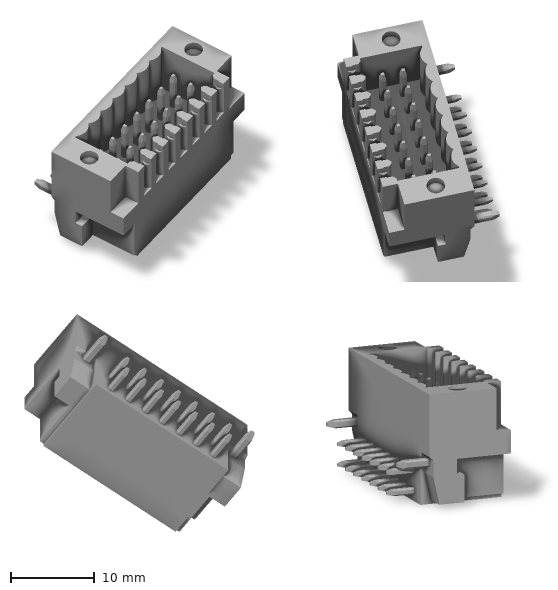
import cadquery as cq


length = 25.35
depth = 10.5
height = 14.2
half_length = length / 2

pitch = 2.53
contacts_per_row = 7
contact_ys = [(i - (contacts_per_row - 1) / 2) * pitch for i in range(contacts_per_row)]
pin_width = 0.8
pin_tip_width = 0.35
pin_chamfer = 0.18
tip_length = 1.01
pin_projection = 3.5
pin_embed = 0.25
first_tail_z = 1.27
tail_zs = (first_tail_z, first_tail_z + pitch)
first_contact_x = 3.65
contact_xs = (first_contact_x, first_contact_x + pitch)
contact_tip_z = 12.2

fixing_inset = 1.75
fixing_y = half_length - fixing_inset
fixing_z = 5.47
fixing_pin_width = 1.0
fixing_tip_width = 0.45
screw_x = 4.3
screw_diameter = 2.23
screw_depth = 1.06

end_width = 2.85
end_bottom = 0.55
end_setback = 0.48
setback_top = 6.5
setback_slope_top = 4.0
end_foot_x = 1.27
hook_x = 3.52
hook_lip_x = 4.49
hook_top = 5.98
hook_lip_top = 3.98
hook_depth = 2.28

cavity_back_x = 0.96
cavity_front_x = 8.62
end_wall = 3.55
cavity_half_length = half_length - end_wall
cavity_depth = 7.15
cavity_floor = height - cavity_depth
bump_rise = 0.55

corner_cut_width = 3.12
corner_cut_height = 5.32
slot_half = 0.75
tooth_nose_half = 0.13
slot_mouth_half = pitch / 2 - tooth_nose_half
slot_lead = slot_mouth_half - slot_half
rib_x = 9.73
sill_depth = 5.07
sill_z = height - sill_depth
rib_half_base = 0.58
rib_rise = 0.33
rib_drop = 1.11
rib_top = height - rib_drop
lug_height = 0.65
lug_rise = 0.1


def box(x, y, z):
    """Axis-aligned box from its (low, high) ranges."""
    size = (x[1] - x[0], y[1] - y[0], z[1] - z[0])
    return cq.Workplane("XY").box(*size, centered=False).translate((x[0], y[0], z[0]))


def prism(points, z):
    """Polygon in XY raised between two Z levels."""
    return cq.Workplane("XY").workplane(offset=z[0]).polyline(points).close().extrude(z[1] - z[0])


def pin(width, tip_width, total):
    """Square pin along +Z with chamfered edges and a four-sided tapered tip."""
    shank_length = total - tip_length
    shank = cq.Workplane("XY").rect(width, width).extrude(shank_length)
    tip = (
        cq.Workplane("XY").workplane(offset=shank_length).rect(width, width)
        .workplane(offset=tip_length).rect(tip_width, tip_width).loft()
    )
    envelope = cq.Workplane("XY").rect(width, width).extrude(total).edges("|Z").chamfer(pin_chamfer)
    return shank.union(tip).intersect(envelope)


def end_cutters():
    """Material removed from the -Y end: board-side relief, hook recess and front top corner."""
    low = -half_length
    relief_outline = [
        (0, 0),
        (0, setback_top),
        (end_setback, setback_top - end_setback),
        (end_setback, setback_slope_top),
        (end_foot_x, end_bottom),
        (depth, end_bottom),
        (depth, 0),
    ]
    relief = (
        cq.Workplane("XZ").polyline(relief_outline).close()
        .extrude(-end_width).translate((0, low, 0))
    )
    hook_ys = (low, low + hook_depth)
    hook = box((hook_x, depth), hook_ys, (hook_lip_top, hook_top))
    below_hook = box((hook_lip_x, depth), hook_ys, (0, hook_lip_top))
    corner_zs = (height - corner_cut_height, height)
    corner = box((cavity_front_x, depth), (low, low + corner_cut_width), corner_zs)
    return [relief, hook, below_hook, corner]


def screw_hole():
    return (
        cq.Workplane("XY").workplane(offset=height - screw_depth)
        .center(screw_x, -fixing_y).circle(screw_diameter / 2).extrude(screw_depth)
    )


def cavity():
    """Pocket whose board-side wall carries one convex bump per contact."""
    outline = cq.Workplane("XY").workplane(offset=cavity_floor).moveTo(cavity_back_x, -cavity_half_length)
    outline = outline.lineTo(cavity_back_x, contact_ys[0] - pitch / 2)
    for y in contact_ys:
        outline = outline.threePointArc((cavity_back_x + bump_rise, y), (cavity_back_x, y + pitch / 2))
    return (
        outline.lineTo(cavity_back_x, cavity_half_length)
        .lineTo(cavity_front_x, cavity_half_length)
        .lineTo(cavity_front_x, -cavity_half_length)
        .close().extrude(cavity_depth)
    )


def slot():
    """Slot between two teeth, with a sill, paired ribs and lugs at the tooth tops."""
    throat_x = cavity_front_x + slot_lead
    opening = prism(
        [
            (cavity_front_x, -slot_mouth_half),
            (throat_x, -slot_half),
            (depth, -slot_half),
            (depth, slot_half),
            (throat_x, slot_half),
            (cavity_front_x, slot_mouth_half),
        ],
        (cavity_floor, height),
    )
    sill = box((rib_x, depth), (-slot_half, slot_half), (cavity_floor, sill_z))
    opening = opening.cut(sill)
    for side in (-1, 1):
        wall_y = side * slot_half
        rib = prism(
            [
                (rib_x - rib_half_base, wall_y),
                (rib_x, wall_y - side * rib_rise),
                (rib_x + rib_half_base, wall_y),
            ],
            (cavity_floor, rib_top),
        )
        lug_ys = sorted((wall_y, wall_y - side * lug_rise))
        lug = box((rib_x, depth), lug_ys, (height - lug_height, height))
        opening = opening.cut(rib).cut(lug)
    return opening


housing = box((0, depth), (-half_length, half_length), (0, height))
for cutter in end_cutters() + [screw_hole()]:
    housing = housing.cut(cutter).cut(cutter.mirror("XZ"))
housing = housing.cut(cavity())
slot_cutter = slot()
for y in contact_ys:
    housing = housing.cut(slot_cutter.translate((0, y, 0)))

tail = pin(pin_width, pin_tip_width, pin_projection + pin_embed).rotate((0, 0, 0), (0, 1, 0), -90)
contact = pin(pin_width, pin_tip_width, contact_tip_z - cavity_floor + pin_embed)
fixing_embed = end_setback + pin_embed
fixing = pin(fixing_pin_width, fixing_tip_width, pin_projection + fixing_embed)
fixing = fixing.rotate((0, 0, 0), (0, 1, 0), -90)

result = housing
for y in contact_ys:
    for z in tail_zs:
        result = result.union(tail.translate((pin_embed, y, z)))
    for x in contact_xs:
        result = result.union(contact.translate((x, y, cavity_floor - pin_embed)))
for y in (-fixing_y, fixing_y):
    result = result.union(fixing.translate((fixing_embed, y, fixing_z)))